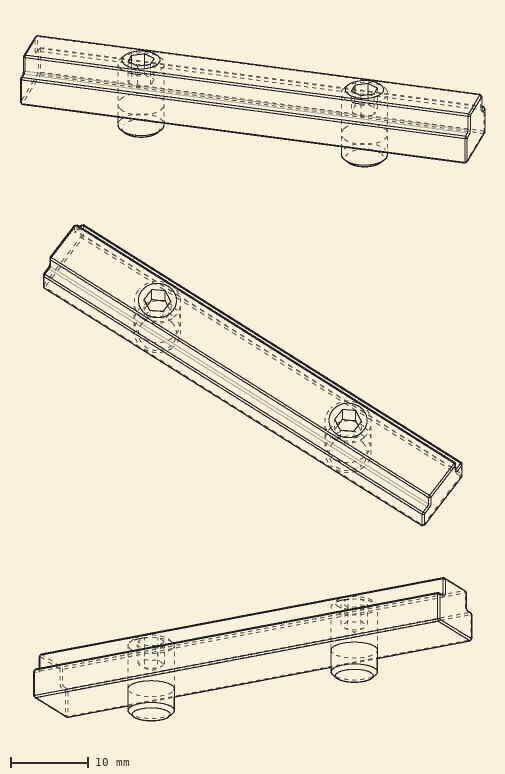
import cadquery as cq
import math

BAR_LENGTH = 60.0
BAR_WIDTH = 9.0
BAR_HEIGHT = 6.5
RIB_WIDTH = 6.05
RIB_HEIGHT = 2.5
EDGE_CHAMFER = 0.25
CORNER_RADIUS = 0.3

SCREW_LENGTH = 10.0
SCREW_DIAMETER = 6.0
END_DIAMETER = 4.9
SCREW_SPACING = BAR_LENGTH / 2
END_CHAMFER = (SCREW_DIAMETER - END_DIAMETER) / 2

SOCKET_FLATS = 3.0
SOCKET_DEPTH = 3.0
DRILL_ANGLE = 118.0

BAR_BOTTOM = SCREW_LENGTH - BAR_HEIGHT
SCREW_POSITIONS = [-SCREW_SPACING / 2, SCREW_SPACING / 2]


def make_bar():
    """Chamfered T-shaped bar with a hole that fits each screw."""
    ledge_height = BAR_HEIGHT - RIB_HEIGHT
    base = cq.Workplane("XY").box(BAR_LENGTH, BAR_WIDTH, ledge_height, centered=(True, True, False))
    rib = cq.Workplane("XY").box(BAR_LENGTH, RIB_WIDTH, BAR_HEIGHT, centered=(True, True, False))
    bar = base.union(rib)

    for side in (-1, 1):
        inner_corner = cq.selectors.NearestToPointSelector((0, side * RIB_WIDTH / 2, ledge_height))
        bar = bar.edges(inner_corner).fillet(CORNER_RADIUS)

    bar = bar.edges("|X and (>Z or <Z)").chamfer(EDGE_CHAMFER)
    for side in (-1, 1):
        ledge_edge = cq.selectors.NearestToPointSelector((0, side * BAR_WIDTH / 2, ledge_height))
        bar = bar.edges(ledge_edge).chamfer(EDGE_CHAMFER)
    bar = bar.faces("<X or >X").chamfer(EDGE_CHAMFER)

    bar = bar.translate((0, 0, BAR_BOTTOM))
    for x in SCREW_POSITIONS:
        bar = bar.cut(make_screw_blank(x))
    return bar


def make_screw_blank(x):
    """Outer shape of a screw standing on Z = 0, also the shape of its hole in the bar."""
    blank = cq.Workplane("XY", origin=(x, 0, 0)).circle(SCREW_DIAMETER / 2).extrude(SCREW_LENGTH)
    return blank.faces("<Z or >Z").chamfer(END_CHAMFER)


def make_socket():
    """Hexagonal recess, corners toward +Y and -Y, ending in a cone."""
    corner_diameter = SOCKET_FLATS / math.cos(math.pi / 6)
    corner_radius = corner_diameter / 2
    cone_depth = corner_radius / math.tan(math.radians(DRILL_ANGLE / 2))
    shoulder = SCREW_LENGTH - SOCKET_DEPTH
    hexagon = (
        cq.Workplane("XY", origin=(0, 0, shoulder - cone_depth))
        .transformed(rotate=(0, 0, 90))
        .polygon(6, corner_diameter)
        .extrude(SOCKET_DEPTH + cone_depth)
    )
    drill = (
        cq.Workplane("XZ")
        .moveTo(0, shoulder - cone_depth)
        .lineTo(corner_radius, shoulder)
        .lineTo(corner_radius, SCREW_LENGTH)
        .lineTo(0, SCREW_LENGTH)
        .close()
        .revolve(360, (0, 0, 0), (0, 1, 0))
    )
    return hexagon.intersect(drill)


def make_screw(x):
    """Set screw with a hexagonal socket in its top."""
    return make_screw_blank(x).cut(make_socket().translate((x, 0, 0)))


bar = make_bar()
screws = [make_screw(x) for x in SCREW_POSITIONS]

result = cq.Compound.makeCompound([*bar.solids().vals(), *[screw.solids().val() for screw in screws]])